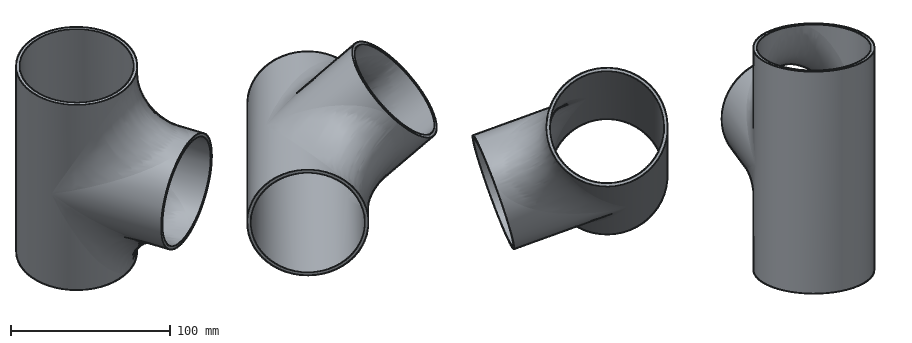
import cadquery as cq
import math

outer_diameter = 76.2
wall = 2.3
run_length = 152.0
section_count = 13

outer_radius = outer_diameter / 2
inner_radius = outer_radius - wall
reach = run_length / 2


def half_ellipse(tip, radius):
    """Half ellipse about the tee centre, from -Y to +Y at the pipe radius, through a tip in the XZ plane."""
    normal = tip.cross(cq.Vector(0, 1, 0))
    return cq.Edge.makeEllipse(tip.Length, radius, cq.Vector(), normal, tip, -90, 90)


def crotch(radius):
    """Wedge that fills the upper corner between the run and the branch.

    Every XZ slice of its outer face is an arc tangent to both pipes. The arc shrinks to
    nothing at the two points where the pipes cross on the Y axis.
    """
    arc_radius = reach - radius
    sections = []
    for index in range(section_count):
        angle = math.pi / 2 * index / (section_count - 1)
        tip_x = reach - arc_radius * math.cos(angle)
        tip_z = reach - arc_radius * math.sin(angle)
        sections.append(half_ellipse(cq.Vector(tip_x, 0, tip_z), radius))

    chord = cq.Edge.makeLine(cq.Vector(0, -radius, 0), cq.Vector(0, radius, 0))
    faces = [cq.occ_impl.shapes.loft(*sections)]
    for section in (sections[0], sections[-1]):
        outline = cq.Wire.assembleEdges([section, chord])
        faces.append(cq.Face.makeFromWires(outline))
    shell = cq.occ_impl.shapes.shell(*faces)
    return cq.Workplane(cq.occ_impl.shapes.solid(shell))


def filled_tee(radius):
    """Solid tee of one pipe radius, with blended crotches above and below the branch."""
    run = cq.Workplane("XY").circle(radius).extrude(reach, both=True)
    branch = cq.Workplane("YZ").circle(radius).extrude(reach)
    upper_crotch = crotch(radius)
    lower_crotch = upper_crotch.mirror("XY")
    return run.union(branch).union(upper_crotch).union(lower_crotch)


result = filled_tee(outer_radius).cut(filled_tee(inner_radius))